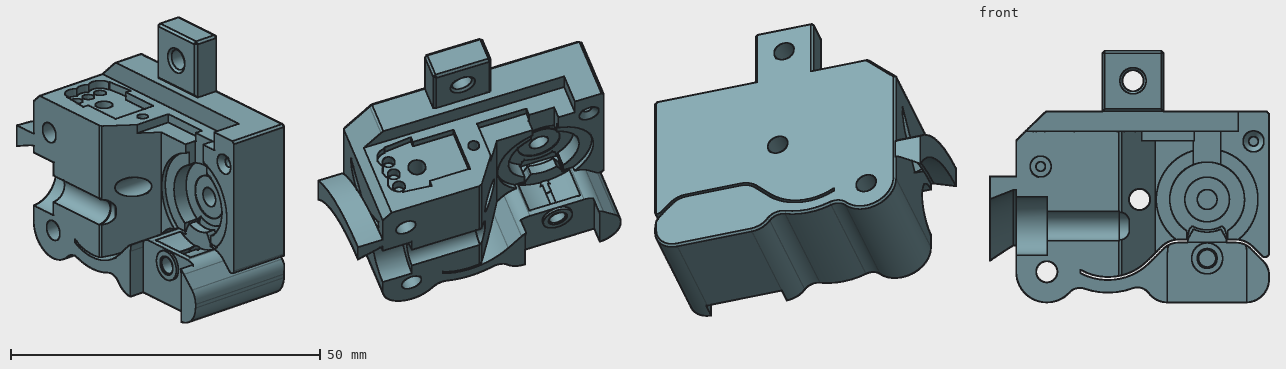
import cadquery as cq
import math


WIDTH = 45.2
DEPTH = 19.0
HEIGHT = 40.75
BODY_LEFT = 4.25
BODY_TOP = 30.9
TOP_CORNER_X = 9.15
TOP_CORNER_Z = 26.2
TOP_BEVEL, TOP_BEVEL_DROP = 0.4, 0.3
BACK_CHAMFER = 0.35
PLATE_FRONT = 8.1
PIVOT_RADIUS = 4.95
PIVOT_X, PIVOT_Z = BODY_LEFT + PIVOT_RADIUS, PIVOT_RADIUS
THROUGH_DIA = 3.4

LEDGE_Z = 27.7
LEDGE_BACK = 13.25
LEDGE_RIGHT = 40.25

BLOCK_EDGE_X = 20.9
BLOCK_BEVEL_X, BLOCK_BEVEL_Y = 21.35, 0.2
BLOCK_ROOT_X = 26.8

TAB_LEFT, TAB_RIGHT = 18.2, 28.1
TAB_FRONT = 14.3
TAB_CHAMFER = 0.4
TAB_HOLE_Z = 35.9
TAB_COUNTERSINK_DIA = 4.25

WHEEL_X, WHEEL_Z = 35.15, 16.7
WHEEL_RADIUS = 8.23
WHEEL_FRONT, WHEEL_BACK = 3.65, 8.85
GEAR_RADIUS = 6.05
GEAR_BACK = 11.45
HUB_DIA, HUB_HEIGHT = 7.25, 0.2
AXLE_DIA, AXLE_DEPTH = 3.2, 4.5

GAP_WIDTH = 0.45
GAP_START_X = 14.65
FLEX_X, FLEX_Z = 19.1, 13.15
FLEX_RADIUS = 9.25
CREST_Z = 9.95
CREST_RADIUS = 3.6
FLEX_THICKNESS = 2.3
HOLLOW_RADIUS = 2.25
ARM_CORNER = 3.8
ARM_TIP_RADIUS = 3.15
BODY_TIP_RADIUS = 0.7

ARM_FLAT_Y = 2.65
ARM_FLAT_HALF, ARM_FLAT_TOP_HALF = 6.4, 6.05
ARM_FLAT_ROUND_Z = 8.15
BOSS_Z = 7.15
BOSS_DIA, BOSS_HEIGHT = 5.0, 0.45
SCREW_DIA, SCREW_MOUTH_DIA = 2.8, 3.2
SCREW_TAIL_DIA = 3.0
SCREW_TAIL_Y, SCREW_END_Y = 8.23, 13.55

TOOTH_TOP_RADIUS = 5.3
TOOTH_TOP_HALF, TOOTH_BASE_HALF = 2.2, 3.15
TOOTH_SHOULDER_HALF, TOOTH_SHOULDER_DROP = 2.5, 0.45
TOOTH_CLEARANCE = 0.35
TOOTH_BACK = 10.5
TOOTH_ROOM_HALF = 3.3
TOOTH_ROOM_TOP = 11.75

SHELF_LEFT, SHELF_RIGHT = 24.6, 33.1
SHELF_Z = 26.2
SLOT_HALF = 2.2
SLOT_BACK = 10.12
CORNER_HOLE_X, CORNER_HOLE_Z = 42.65, 26.1
PILOT_DIA = 1.55
PILOT_DEPTH = 5.42
GUIDE_HOLE_X = 24.23

BORE_Z = 12.4
HEAD_DIA, HEAD_END = 9.4, 9.25
SHANK_DIA, SHANK_END = 4.7, 20.97
TAIL_DIA, TAIL_END = 4.45, 22.55

SEAT_DEPTH = 1.35
SEAT_Y = 7.65
SEAT_LEFT, SEAT_SHOULDER, SEAT_RIGHT = 7.05, 13.65, 20.6
SEAT_HALF, SEAT_SHOULDER_HALF, SEAT_NOSE_HALF = 4.0, 4.95, 4.5
SEAT_NOSE_X = 8.9
PIN_DIA, PIN_PITCH = 2.0, 2.5
PIN_DEPTH = 1.8
SEAT_SCREW_X, SEAT_SCREW_DIA, SEAT_SCREW_DEPTH = 12.9, 2.8, 8.15
TOP_HOLE_X, TOP_HOLE_DIA, TOP_HOLE_DEPTH = 22.65, 1.75, 3.6
DRILL_POINT_ANGLE = 118.0
FRONT_HOLE_X, FRONT_HOLE_Z, FRONT_HOLE_DEPTH = 8.23, 22.0, 4.95

VEE_Y, VEE_HALF = 8.65, 6.55
VEE_TOP, VEE_INNER, VEE_APEX = 22.6, 17.55, 13.95
VEE_BEND_HALF, VEE_BEND_Z = 4.2, 17.45
VEE_BULGE_HALF, VEE_BULGE_Z = 5.88, 19.4
VEE_DEPTH = 7.7

WING_AXIS_Z = -6.35
WING_OUTER, WING_EDGE, WING_ROOT = 26.75, 23.05, 24.55
WING_CONE_END = 3.8

COS45 = math.sqrt(0.5)


def front_plane(y=0.0):
    """Workplane in X and Z at depth y; a negative extrusion goes backwards."""
    return cq.Workplane("XZ", origin=(0, y, 0))


def rod(x, z, diameter, start, end):
    """Cylinder along Y."""
    return front_plane(start).center(x, z).circle(diameter / 2).extrude(start - end)


def block(x_range, y_range, z_range):
    """Box given by its limits on each axis."""
    sizes = [high - low for low, high in (x_range, y_range, z_range)]
    low_corner = (x_range[0], y_range[0], z_range[0])
    return cq.Workplane("XY").box(*sizes, centered=False).translate(low_corner)


def cone(x, z, start, large_dia, small_dia, depth):
    """Countersink along Y, narrowing from large_dia to small_dia."""
    solid = cq.Solid.makeCone(
        large_dia / 2, small_dia / 2, depth, cq.Vector(x, start, z), cq.Vector(0, 1, 0)
    )
    return cq.Workplane(obj=solid)


def flexure_point(offset_x, radius):
    """Point on an arc around the flexure centre, below that centre."""
    return FLEX_X + offset_x, FLEX_Z - math.sqrt(radius**2 - offset_x**2)


def above_gap(shift):
    """Space above the gap centre line, the line being moved up by shift."""
    flex = FLEX_RADIUS - shift
    crest = CREST_RADIUS + shift
    crest_axis_z = CREST_Z - CREST_RADIUS
    rise = (1 - COS45) * CREST_RADIUS
    flank_end = FLEX_X - FLEX_Z + 2 * COS45 * FLEX_RADIUS + CREST_Z - rise
    left_axis = flank_end + COS45 * CREST_RADIUS
    right_axis = 2 * WHEEL_X - left_axis
    sin_half, cos_half = math.sin(math.pi / 8), math.cos(math.pi / 8)
    mid_z = crest_axis_z + cos_half * crest
    flank_z = crest_axis_z + COS45 * crest
    tip_run = WIDTH + CREST_RADIUS - right_axis - COS45 * crest
    return (
        front_plane()
        .moveTo(*flexure_point(GAP_START_X - FLEX_X, flex))
        .threePointArc((FLEX_X, FLEX_Z - flex), flexure_point(COS45 * flex, flex))
        .lineTo(left_axis - COS45 * crest, flank_z)
        .threePointArc((left_axis - sin_half * crest, mid_z), (left_axis, CREST_Z + shift))
        .lineTo(right_axis, CREST_Z + shift)
        .threePointArc((right_axis + sin_half * crest, mid_z), (right_axis + COS45 * crest, flank_z))
        .line(tip_run, -tip_run)
        .lineTo(WIDTH + CREST_RADIUS, BODY_TOP)
        .lineTo(GAP_START_X, BODY_TOP)
        .close()
        .extrude(-DEPTH)
    )


def hollow_between(left, right):
    """Start, top and end of the hollow that touches two rounds (x, z, radius) from below."""
    reach_left = left[2] + HOLLOW_RADIUS
    reach_right = right[2] + HOLLOW_RADIUS
    span = math.dist(left[:2], right[:2])
    along = (reach_left**2 - reach_right**2 + span**2) / (2 * span)
    below = math.sqrt(reach_left**2 - along**2)
    unit_x = (right[0] - left[0]) / span
    unit_z = (right[1] - left[1]) / span
    axis_x = left[0] + unit_x * along + unit_z * below
    axis_z = left[1] + unit_z * along - unit_x * below
    touches = []
    for x, z, radius in (left, right):
        share = HOLLOW_RADIUS / (radius + HOLLOW_RADIUS)
        touches.append((axis_x + share * (x - axis_x), axis_z + share * (z - axis_z)))
    return touches[0], (axis_x, axis_z + HOLLOW_RADIUS), touches[1]


def make_body():
    """Housing and arm outline with the wavy underside, chamfered at the back."""
    pivot = (PIVOT_X, PIVOT_Z, PIVOT_RADIUS)
    flexure = (FLEX_X, FLEX_Z, FLEX_RADIUS + FLEX_THICKNESS)
    arm_left = WHEEL_X - ARM_FLAT_HALF
    arm_corner = (arm_left, ARM_CORNER, ARM_CORNER)
    left_hollow = hollow_between(pivot, flexure)
    right_hollow = hollow_between(flexure, arm_corner)
    arm_start = right_hollow[2]
    corner_inset = (1 - COS45) * ARM_CORNER
    return (
        front_plane()
        .moveTo(BODY_LEFT, TOP_CORNER_Z)
        .lineTo(BODY_LEFT, PIVOT_Z)
        .threePointArc((PIVOT_X, 0), left_hollow[0])
        .threePointArc(left_hollow[1], left_hollow[2])
        .threePointArc((FLEX_X, FLEX_Z - flexure[2]), right_hollow[0])
        .threePointArc(right_hollow[1], arm_start)
        .tangentArcPoint((arm_left, 0), relative=False)
        .lineTo(WIDTH - ARM_CORNER, 0)
        .threePointArc((WIDTH - corner_inset, corner_inset), (WIDTH, ARM_CORNER))
        .lineTo(WIDTH, BODY_TOP - TOP_BEVEL)
        .lineTo(WIDTH - TOP_BEVEL, BODY_TOP)
        .lineTo(TOP_CORNER_X, BODY_TOP)
        .lineTo(TOP_CORNER_X - TOP_BEVEL, BODY_TOP - TOP_BEVEL_DROP)
        .close()
        .extrude(-DEPTH)
        .faces(">Y")
        .edges()
        .chamfer(BACK_CHAMFER)
    )


def cut_clearances(body):
    """Top ledge, open space in front of the back plate and the gap around the arm."""
    body = body.cut(block((0, LEDGE_RIGHT), (0, LEDGE_BACK), (LEDGE_Z, BODY_TOP)))
    plan = (
        cq.Workplane("XY")
        .moveTo(BLOCK_EDGE_X, 0)
        .lineTo(BLOCK_BEVEL_X, BLOCK_BEVEL_Y)
        .lineTo(BLOCK_ROOT_X, PLATE_FRONT)
        .lineTo(WIDTH, PLATE_FRONT)
        .lineTo(WIDTH, 0)
        .close()
        .extrude(BODY_TOP)
    )
    upper_edge = above_gap(GAP_WIDTH / 2)
    body = body.cut(upper_edge.intersect(plan))
    body = body.cut(above_gap(-GAP_WIDTH / 2).cut(upper_edge))
    tip_split = CREST_Z - CREST_RADIUS
    tip_edges = cq.selectors.BoxSelector
    arm_tip = tip_edges((WIDTH - 0.45, -0.45, ARM_CORNER + 0.45), (WIDTH + 0.45, DEPTH, tip_split))
    plate_tip = tip_edges((WIDTH - 0.45, 0, tip_split), (WIDTH + 0.45, DEPTH, CREST_Z))
    body = body.edges("|Y").edges(arm_tip).fillet(ARM_TIP_RADIUS)
    return body.edges("|Y").edges(plate_tip).fillet(BODY_TIP_RADIUS)


def tooth_profile(growth, y):
    """Tooth outline with a hollow top that follows the gear, enlarged by growth."""
    radius = TOOTH_TOP_RADIUS - growth
    top_half = TOOTH_TOP_HALF + growth / 2
    shoulder_half = TOOTH_SHOULDER_HALF + growth
    base_half = TOOTH_BASE_HALF + growth / 2
    top_z = WHEEL_Z - math.sqrt(radius**2 - top_half**2)
    base_z = CREST_Z - GAP_WIDTH
    return (
        front_plane(y)
        .moveTo(WHEEL_X - base_half, base_z)
        .lineTo(WHEEL_X - base_half, CREST_Z + GAP_WIDTH / 2)
        .lineTo(WHEEL_X - shoulder_half, top_z - TOOTH_SHOULDER_DROP)
        .lineTo(WHEEL_X - top_half, top_z)
        .threePointArc((WHEEL_X, WHEEL_Z - radius), (WHEEL_X + top_half, top_z))
        .lineTo(WHEEL_X + shoulder_half, top_z - TOOTH_SHOULDER_DROP)
        .lineTo(WHEEL_X + base_half, CREST_Z + GAP_WIDTH / 2)
        .lineTo(WHEEL_X + base_half, base_z)
        .close()
    )


def cut_wheel_side(body):
    """Gear pocket, tooth, wheel recess, shelf, slot and holes in the back plate."""
    notch_back = GEAR_BACK + TOOTH_CLEARANCE
    room_x = (WHEEL_X - TOOTH_ROOM_HALF, WHEEL_X + TOOTH_ROOM_HALF)
    gear = rod(WHEEL_X, WHEEL_Z, 2 * GEAR_RADIUS, PLATE_FRONT, GEAR_BACK)
    gear = gear.cut(block((0, WIDTH), (0, DEPTH), (0, CREST_Z)))
    body = body.cut(gear)
    body = body.cut(block(room_x, (PLATE_FRONT, GEAR_BACK), (CREST_Z, TOOTH_ROOM_TOP)))
    body = body.cut(
        tooth_profile(TOOTH_CLEARANCE, PLATE_FRONT)
        .extrude(PLATE_FRONT - notch_back)
        .intersect(block((0, WIDTH), (0, DEPTH), (CREST_Z, BODY_TOP)))
    )
    body = body.union(tooth_profile(0, PLATE_FRONT).extrude(PLATE_FRONT - TOOTH_BACK))
    body = body.cut(rod(WHEEL_X, WHEEL_Z, 2 * WHEEL_RADIUS, WHEEL_FRONT, WHEEL_BACK))
    hub_front = GEAR_BACK - HUB_HEIGHT
    body = body.union(rod(WHEEL_X, WHEEL_Z, HUB_DIA, hub_front, GEAR_BACK))
    body = body.cut(rod(WHEEL_X, WHEEL_Z, AXLE_DIA, hub_front, GEAR_BACK + AXLE_DEPTH))

    body = body.cut(block((SHELF_LEFT, SHELF_RIGHT), (0, GEAR_BACK), (SHELF_Z, LEDGE_Z)))
    slot_x = (WHEEL_X - SLOT_HALF, WHEEL_X + SLOT_HALF)
    body = body.cut(block(slot_x, (PLATE_FRONT, SLOT_BACK), (WHEEL_Z + GEAR_RADIUS / 2, LEDGE_Z)))

    sink = (THROUGH_DIA - PILOT_DIA) / 2
    body = body.cut(cone(CORNER_HOLE_X, CORNER_HOLE_Z, PLATE_FRONT, THROUGH_DIA, PILOT_DIA, sink))
    body = body.cut(rod(CORNER_HOLE_X, CORNER_HOLE_Z, PILOT_DIA, PLATE_FRONT, PLATE_FRONT + PILOT_DEPTH))
    return body.cut(rod(GUIDE_HOLE_X, WHEEL_Z, THROUGH_DIA, 0, DEPTH))


def shape_arm(body):
    """Flat on the front of the arm, with the screw boss and its stepped hole."""
    flat_top = CREST_Z - GAP_WIDTH / 2
    flat = (
        front_plane()
        .moveTo(WHEEL_X, 0)
        .lineTo(WHEEL_X - ARM_FLAT_HALF, 0)
        .lineTo(WHEEL_X - ARM_FLAT_HALF, ARM_FLAT_ROUND_Z)
        .tangentArcPoint((WHEEL_X - ARM_FLAT_TOP_HALF, flat_top), relative=False)
        .lineTo(WHEEL_X, flat_top)
        .close()
        .extrude(-ARM_FLAT_Y)
    )
    flat = flat.union(flat.mirror("YZ", (WHEEL_X, 0, 0)))
    body = body.cut(flat)
    boss_front = ARM_FLAT_Y - BOSS_HEIGHT
    sink = (SCREW_MOUTH_DIA - SCREW_DIA) / 2
    body = body.union(rod(WHEEL_X, BOSS_Z, BOSS_DIA, boss_front, WHEEL_FRONT))
    body = body.cut(rod(WHEEL_X, BOSS_Z, SCREW_DIA, boss_front, SCREW_TAIL_Y))
    body = body.cut(rod(WHEEL_X, BOSS_Z, SCREW_TAIL_DIA, SCREW_TAIL_Y, SCREW_END_Y))
    return body.cut(cone(WHEEL_X, BOSS_Z, boss_front, SCREW_MOUTH_DIA, SCREW_DIA, sink))


def cut_front_block(body):
    """Half bore, pivot hole, front hole and the channel in the left face, deepest in its middle."""
    for diameter, end in ((HEAD_DIA, HEAD_END), (SHANK_DIA, SHANK_END), (TAIL_DIA, TAIL_END)):
        bore = cq.Workplane("YZ").center(0, BORE_Z).circle(diameter / 2).extrude(end)
        body = body.cut(bore)
    body = body.cut(rod(PIVOT_X, PIVOT_Z, THROUGH_DIA, 0, DEPTH))
    body = body.cut(rod(FRONT_HOLE_X, FRONT_HOLE_Z, THROUGH_DIA, 0, FRONT_HOLE_DEPTH))
    body = body.cut(rod(FRONT_HOLE_X, FRONT_HOLE_Z, PILOT_DIA, 0, FRONT_HOLE_DEPTH + PILOT_DEPTH))

    channel = (
        cq.Workplane("YZ", origin=(BODY_LEFT, 0, 0))
        .moveTo(VEE_Y - VEE_HALF, VEE_TOP)
        .threePointArc((VEE_Y - VEE_BULGE_HALF, VEE_BULGE_Z), (VEE_Y - VEE_BEND_HALF, VEE_BEND_Z))
        .lineTo(VEE_Y, VEE_APEX)
        .lineTo(VEE_Y + VEE_BEND_HALF, VEE_BEND_Z)
        .threePointArc((VEE_Y + VEE_BULGE_HALF, VEE_BULGE_Z), (VEE_Y + VEE_HALF, VEE_TOP))
        .lineTo(VEE_Y, VEE_INNER)
        .close()
        .extrude(VEE_DEPTH)
    )
    wedge = (
        cq.Workplane("XY")
        .moveTo(BODY_LEFT, VEE_Y - VEE_HALF)
        .lineTo(BODY_LEFT + VEE_DEPTH, VEE_Y)
        .lineTo(BODY_LEFT, VEE_Y + VEE_HALF)
        .close()
        .extrude(BODY_TOP)
    )
    return body.cut(channel.intersect(wedge))


def drilled_down(x, top, diameter, depth):
    """Vertical drilled hole on the seat's centre line, with a conical end."""
    radius = diameter / 2
    point = radius / math.tan(math.radians(DRILL_POINT_ANGLE / 2))
    half_section = (
        cq.Workplane("XZ", origin=(x, SEAT_Y, top))
        .lineTo(radius, 0)
        .lineTo(radius, -depth)
        .lineTo(0, -depth - point)
        .close()
    )
    return half_section.revolve(360, (0, 0, 0), (0, 1, 0))


def cut_sensor_seat(body):
    """Seat with a scalloped nose, its pin and screw holes, and the hole beside it."""
    floor = cq.Workplane("XY", origin=(0, 0, LEDGE_Z - SEAT_DEPTH))
    seat = (
        floor.moveTo(SEAT_RIGHT, SEAT_Y - SEAT_HALF)
        .lineTo(SEAT_SHOULDER, SEAT_Y - SEAT_HALF)
        .lineTo(SEAT_SHOULDER, SEAT_Y - SEAT_SHOULDER_HALF)
        .lineTo(SEAT_NOSE_X, SEAT_Y - SEAT_NOSE_HALF)
        .lineTo(SEAT_NOSE_X, SEAT_Y + SEAT_NOSE_HALF)
        .lineTo(SEAT_SHOULDER, SEAT_Y + SEAT_SHOULDER_HALF)
        .lineTo(SEAT_SHOULDER, SEAT_Y + SEAT_HALF)
        .lineTo(SEAT_RIGHT, SEAT_Y + SEAT_HALF)
        .close()
        .extrude(SEAT_DEPTH)
    )
    pins = [(SEAT_NOSE_X, SEAT_Y + row * PIN_PITCH) for row in (-1, 0, 1)]
    scallop_radius = SEAT_NOSE_X - SEAT_LEFT
    seat = seat.union(floor.pushPoints(pins).circle(scallop_radius).extrude(SEAT_DEPTH))
    body = body.cut(seat)
    body = body.cut(floor.pushPoints(pins).circle(PIN_DIA / 2).extrude(-PIN_DEPTH))
    seat_z = LEDGE_Z - SEAT_DEPTH
    body = body.cut(drilled_down(SEAT_SCREW_X, seat_z, SEAT_SCREW_DIA, SEAT_SCREW_DEPTH))
    return body.cut(drilled_down(TOP_HOLE_X, LEDGE_Z, TOP_HOLE_DIA, TOP_HOLE_DEPTH))


def make_tab():
    """Chamfered tab standing on the top edge, with a countersunk hole."""
    bottom = BODY_TOP - TAB_CHAMFER
    centre_x = (TAB_LEFT + TAB_RIGHT) / 2
    sink = (TAB_COUNTERSINK_DIA - THROUGH_DIA) / 2
    tab = block((TAB_LEFT, TAB_RIGHT), (TAB_FRONT, DEPTH), (bottom, HEIGHT))
    tab = tab.edges("not <Z").chamfer(TAB_CHAMFER)
    foot_bevel = (
        cq.Workplane("YZ", origin=(TAB_LEFT, TAB_FRONT, BODY_TOP))
        .lineTo(TAB_CHAMFER, 0)
        .lineTo(0, TAB_CHAMFER)
        .close()
        .extrude(TAB_RIGHT - TAB_LEFT)
    )
    tab = tab.cut(foot_bevel)
    tab = tab.cut(rod(centre_x, TAB_HOLE_Z, THROUGH_DIA, TAB_FRONT, DEPTH))
    return tab.cut(cone(centre_x, TAB_HOLE_Z, TAB_FRONT, TAB_COUNTERSINK_DIA, THROUGH_DIA, sink))


def make_wing():
    """Curved band around an axis along X, its underside tapering towards the tip."""
    ring = (
        cq.Workplane("XY")
        .moveTo(0, WING_EDGE)
        .lineTo(WING_CONE_END, WING_ROOT)
        .lineTo(BODY_LEFT, WING_ROOT)
        .lineTo(BODY_LEFT, WING_OUTER)
        .lineTo(0, WING_OUTER)
        .close()
        .revolve(360, (0, 0, 0), (1, 0, 0))
        .translate((0, 0, WING_AXIS_Z))
    )
    return ring.intersect(block((0, BODY_LEFT), (0, DEPTH), (0, HEIGHT)))


body = make_body()
body = cut_clearances(body)
body = cut_wheel_side(body)
body = shape_arm(body)
body = cut_front_block(body)
body = cut_sensor_seat(body)
result = body.union(make_tab()).union(make_wing())